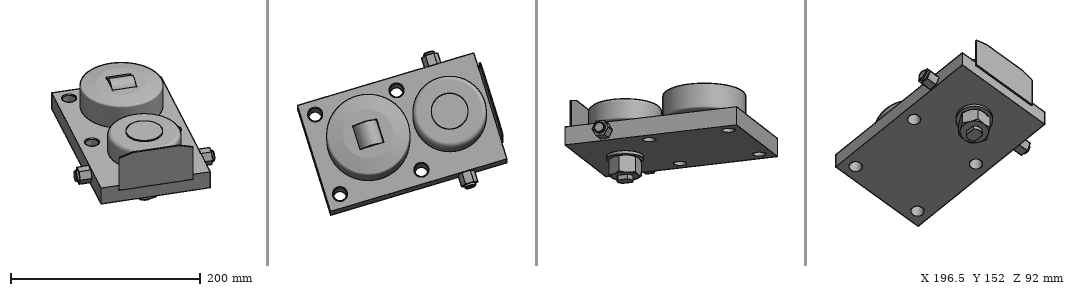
import cadquery as cq
import math


overall_length = 196.5
overall_width = 152.0
overall_height = 92.0

guard_thickness = 1.5
plate_length = overall_length - guard_thickness
plate_width = 120.0
plate_thickness = 20.0
hole_diameter = 14.0
hole_chamfer = 1.0
hole_countersink_angle = 90.0
hole_first_x = 15.0
hole_spacing = 90.0

guard_width = 81.2
guard_bottom_z = -5.3
guard_top_z = 39.5
guard_corner_run = 15.1
guard_corner_drop = 4.5

fixed_x = 60.0
fixed_diameter = 88.0
fixed_neck_diameter = 44.0
fixed_bottom_z = 9.0
fixed_top_z = 40.0
fixed_flat_diameter = 53.0
fixed_cone_drop = 3.0
fixed_edge_radius = 2.0

cross_roller_diameter = 26.5
cross_roller_length = 26.5
cross_roller_top_z = 44.2
cross_roller_axis_z = cross_roller_top_z - cross_roller_diameter / 2

adjustable_x = 150.0
adjustable_diameter = 77.8
adjustable_bottom_z = 8.6
adjustable_top_z = 32.8
adjustable_top_radius = 4.7
adjustable_bottom_radius = 2.0
pin_diameter = 39.0
pin_top_z = 34.2
pin_bottom_z = -23.4
nut_flats = 30.0
nut_bottom_z = -42.5
nut_chamfer_angle = 30.0
stub_diameter = 16.9
stub_flats = 13.0
stub_bottom_z = cross_roller_top_z - overall_height

screw_diameter = 12.0
screw_tip_chamfer = 1.0
screw_projection = (overall_width - plate_width) / 2
locknut_flats = 16.0
locknut_height = 12.8


def across_corners(flats):
    """Corner-to-corner size of a hexagon with the given size across flats."""
    return flats / math.cos(math.radians(30))


def upright_cylinder(x, diameter, bottom_z, top_z):
    return (
        cq.Workplane("XY", origin=(x, 0, bottom_z))
        .circle(diameter / 2)
        .extrude(top_z - bottom_z)
    )


def make_plate():
    """Flat plate with four countersunk holes and the bore for the adjustable pin."""
    plate = cq.Workplane("XY").box(
        plate_length, plate_width, plate_thickness, centered=(False, True, False)
    ).translate((0, 0, -plate_thickness))
    hole_places = [
        (hole_first_x + column * hole_spacing, side * hole_spacing / 2)
        for column in (0, 1)
        for side in (-1, 1)
    ]
    plate = (
        plate.faces(">Z").workplane(origin=(0, 0, 0))
        .pushPoints(hole_places)
        .cskHole(hole_diameter, hole_diameter + 2 * hole_chamfer, hole_countersink_angle)
    )
    return plate.cut(upright_cylinder(adjustable_x, pin_diameter, -plate_thickness, 0))


def make_guard():
    """Thin upright sheet with two sloping top corners."""
    half_width = guard_width / 2
    half_top = half_width - guard_corner_run
    shoulder_z = guard_top_z - guard_corner_drop
    return (
        cq.Workplane("YZ", origin=(plate_length, 0, 0))
        .polyline([
            (-half_width, guard_bottom_z),
            (half_width, guard_bottom_z),
            (half_width, shoulder_z),
            (half_top, guard_top_z),
            (-half_top, guard_top_z),
            (-half_width, shoulder_z),
        ])
        .close()
        .extrude(guard_thickness)
    )


def make_fixed_roller():
    """Roller with a conical crown and rounded rims, standing on its neck."""
    radius = fixed_diameter / 2
    roller = (
        cq.Workplane("XZ", origin=(fixed_x, 0, 0))
        .polyline([
            (0, fixed_bottom_z),
            (radius, fixed_bottom_z),
            (radius, fixed_top_z - fixed_cone_drop),
            (fixed_flat_diameter / 2, fixed_top_z),
            (0, fixed_top_z),
        ])
        .close()
        .revolve(360, (0, 0, 0), (0, 1, 0))
    )
    outer_rims = cq.selectors.RadiusNthSelector(-1)
    roller = roller.edges(outer_rims).fillet(fixed_edge_radius)
    neck = upright_cylinder(fixed_x, fixed_neck_diameter, 0, fixed_bottom_z)
    return roller.union(neck)


def make_cross_roller_pocket():
    """Square pocket whose floor lies at the height of the cross roller's axis."""
    return cq.Workplane("XY", origin=(fixed_x, 0, cross_roller_axis_z)).box(
        cross_roller_diameter,
        cross_roller_length,
        fixed_top_z - cross_roller_axis_z,
        centered=(True, True, False),
    )


def make_cross_roller():
    """Upper half of the cross roller, rising from the pocket floor."""
    radius = cross_roller_diameter / 2
    return (
        cq.Workplane("XZ", origin=(fixed_x, cross_roller_length / 2, cross_roller_axis_z))
        .moveTo(-radius, 0)
        .threePointArc((0, radius), (radius, 0))
        .close()
        .extrude(cross_roller_length)
    )


def make_clamping_screw(side):
    """Locknut and screw tip on the long edge of the plate at the given side (-1 or 1)."""
    edge_plane = cq.Plane(
        origin=(adjustable_x, side * plate_width / 2, -plate_thickness / 2),
        xDir=(1, 0, 0),
        normal=(0, side, 0),
    )
    locknut = (
        cq.Workplane(edge_plane)
        .polygon(6, across_corners(locknut_flats))
        .extrude(locknut_height)
    )
    screw = (
        cq.Workplane(edge_plane)
        .circle(screw_diameter / 2)
        .extrude(screw_projection)
        .faces(">Y" if side > 0 else "<Y")
        .chamfer(screw_tip_chamfer)
    )
    return locknut.union(screw)


def make_plate_assembly():
    """Plate with its guard, fixed roller, cross roller and clamping screws as one body."""
    body = make_plate().union(make_guard()).union(make_fixed_roller())
    body = body.cut(make_cross_roller_pocket()).union(make_cross_roller())
    for side in (-1, 1):
        body = body.union(make_clamping_screw(side))
    return body


def make_nut():
    """Hexagon with its corners along Y, chamfered conically at both ends."""
    height = pin_bottom_z - nut_bottom_z
    corner_radius = across_corners(nut_flats) / 2
    chamfer_run = corner_radius - nut_flats / 2
    chamfer_drop = chamfer_run * math.tan(math.radians(nut_chamfer_angle))
    hexagon = (
        cq.Workplane("XY")
        .polygon(6, 2 * corner_radius)
        .extrude(height)
        .rotate((0, 0, 0), (0, 0, 1), 90)
    )
    chamfer_envelope = (
        cq.Workplane("XY")
        .circle(corner_radius)
        .extrude(height)
        .faces("<Z or >Z")
        .chamfer(chamfer_drop, chamfer_run)
    )
    return hexagon.intersect(chamfer_envelope).translate((adjustable_x, 0, nut_bottom_z))


def make_stub():
    """Round pin end with two wrench flats facing Y."""
    stub = upright_cylinder(adjustable_x, stub_diameter, stub_bottom_z, nut_bottom_z)
    flats = cq.Workplane("XY", origin=(adjustable_x, 0, stub_bottom_z)).box(
        stub_diameter, stub_flats, nut_bottom_z - stub_bottom_z, centered=(True, True, False)
    )
    return stub.intersect(flats)


def make_adjustable_roller():
    """Roller, through pin, nut and stub as one body on a common vertical axis."""
    roller = (
        upright_cylinder(adjustable_x, adjustable_diameter, adjustable_bottom_z, adjustable_top_z)
        .faces(">Z").edges().fillet(adjustable_top_radius)
        .faces("<Z").edges().fillet(adjustable_bottom_radius)
    )
    pin = upright_cylinder(adjustable_x, pin_diameter, pin_bottom_z, pin_top_z)
    return roller.union(pin).union(make_nut()).union(make_stub())


plate_assembly = make_plate_assembly()
adjustable_roller = make_adjustable_roller()

result = cq.Compound.makeCompound([
    plate_assembly.solids().val(),
    adjustable_roller.solids().val(),
])